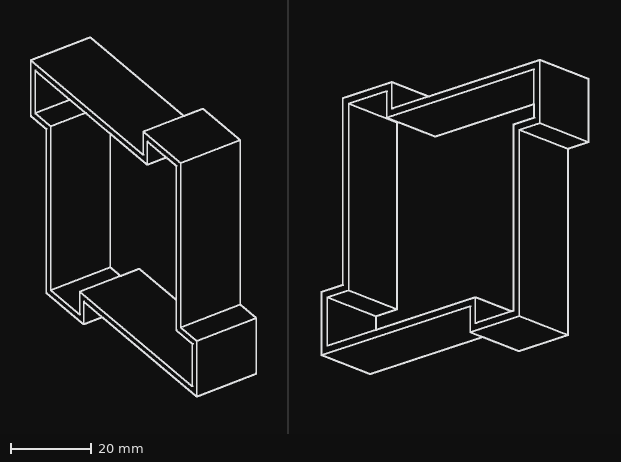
import cadquery as cq

width = 73.95
height = 73.8
depth = 18.0

wall = 2.0
lobe_wall = 1.8

left_step = 6.95
right_step = 7.2
top_step = 7.1
bottom_step = 6.95

side_lobe_length = 16.9
end_lobe_length = 16.65

right = width / 2
left = -right
top = height / 2
bottom = -top
body_left = left + left_step
body_right = right - right_step
body_top = top - top_step
body_bottom = bottom + bottom_step


def frame_prism(inset, lobe_inset):
    """Pinwheel prism with its faces moved inward, centred on the XZ plane.

    The short upright faces of the top and bottom lobes move by lobe_inset,
    all other faces by inset.
    """
    top_lobe_x = body_right - end_lobe_length + lobe_inset
    right_lobe_z = body_bottom + side_lobe_length - inset
    bottom_lobe_x = body_left + end_lobe_length - lobe_inset
    left_lobe_z = body_top - side_lobe_length + inset
    outline = [
        (left + inset, body_top - inset),
        (top_lobe_x, body_top - inset),
        (top_lobe_x, top - inset),
        (body_right - inset, top - inset),
        (body_right - inset, right_lobe_z),
        (right - inset, right_lobe_z),
        (right - inset, body_bottom + inset),
        (bottom_lobe_x, body_bottom + inset),
        (bottom_lobe_x, bottom + inset),
        (body_left + inset, bottom + inset),
        (body_left + inset, left_lobe_z),
        (left + inset, left_lobe_z),
    ]
    return cq.Workplane("XZ").polyline(outline).close().extrude(depth / 2, both=True)


outer = frame_prism(0, 0)
opening = frame_prism(wall, lobe_wall)

result = outer.cut(opening)